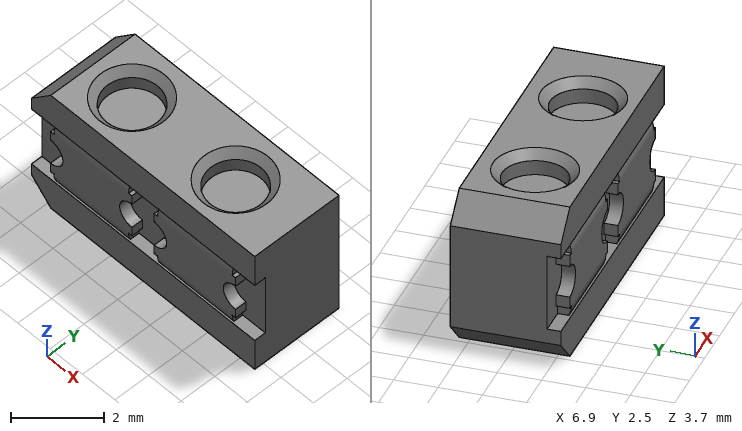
import cadquery as cq
import math

length = 6.9
depth = 2.5
height = 3.7
end_chamfer = 0.6

channel_height = 1.8
channel_depth = 0.31

first_station_x = 1.85
station_pitch = 3.2
station_positions = [first_station_x, first_station_x + station_pitch]

pocket_radius = 0.745
pocket_mouth_radius = 0.95
pocket_depth = 0.55
pocket_chamfer = pocket_mouth_radius - pocket_radius
pocket_y = 1.21

plate_width = 2.51
plate_height = 1.31
notch_radius = 0.38
strip_width = 2.305
strip_edge_drop = 0.055


def make_housing():
    block = cq.Workplane("XY").box(length, depth, height, centered=(False, False, True))
    block = block.edges("|Y and <X").chamfer(end_chamfer)
    channel = cq.Workplane("XY").box(
        length, channel_depth, channel_height, centered=(False, False, True)
    )
    return block.cut(channel)


def make_pocket(x):
    profile = [
        (0, 0),
        (pocket_mouth_radius, 0),
        (pocket_radius, -pocket_chamfer),
        (pocket_radius, -pocket_depth),
        (0, -pocket_depth),
    ]
    pocket = cq.Workplane("XZ").polyline(profile).close().revolve(360, (0, 0), (0, 1))
    return pocket.translate((x, pocket_y, height / 2))


def make_plate(x):
    plate = cq.Workplane("XY").box(
        plate_width, channel_depth, plate_height, centered=(True, False, True)
    )
    notches = (
        cq.Workplane("XZ")
        .pushPoints([(-plate_width / 2, 0), (plate_width / 2, 0)])
        .circle(notch_radius)
        .extrude(-channel_depth)
    )
    return plate.cut(notches).translate((x, 0, 0))


def make_edge_strip(x, side):
    """Strip from the plate to the upper (+1) or lower (-1) channel wall.

    Its front is an arc that leaves the plate face tangentially.
    """
    inner_z = plate_height / 2
    outer_z = channel_height / 2
    rise = outer_z - inner_z
    arc_radius = (rise**2 + strip_edge_drop**2) / (2 * strip_edge_drop)
    half_rise = rise / 2
    half_drop = arc_radius - math.sqrt(arc_radius**2 - half_rise**2)
    strip = (
        cq.Workplane("YZ")
        .moveTo(channel_depth, side * inner_z)
        .lineTo(0, side * inner_z)
        .threePointArc((half_drop, side * (inner_z + half_rise)), (strip_edge_drop, side * outer_z))
        .lineTo(channel_depth, side * outer_z)
        .close()
        .extrude(strip_width / 2, both=True)
    )
    return strip.translate((x, 0, 0))


result = make_housing()
for station_x in station_positions:
    result = result.cut(make_pocket(station_x))
    result = result.union(make_plate(station_x))
    for side in (1, -1):
        result = result.union(make_edge_strip(station_x, side))